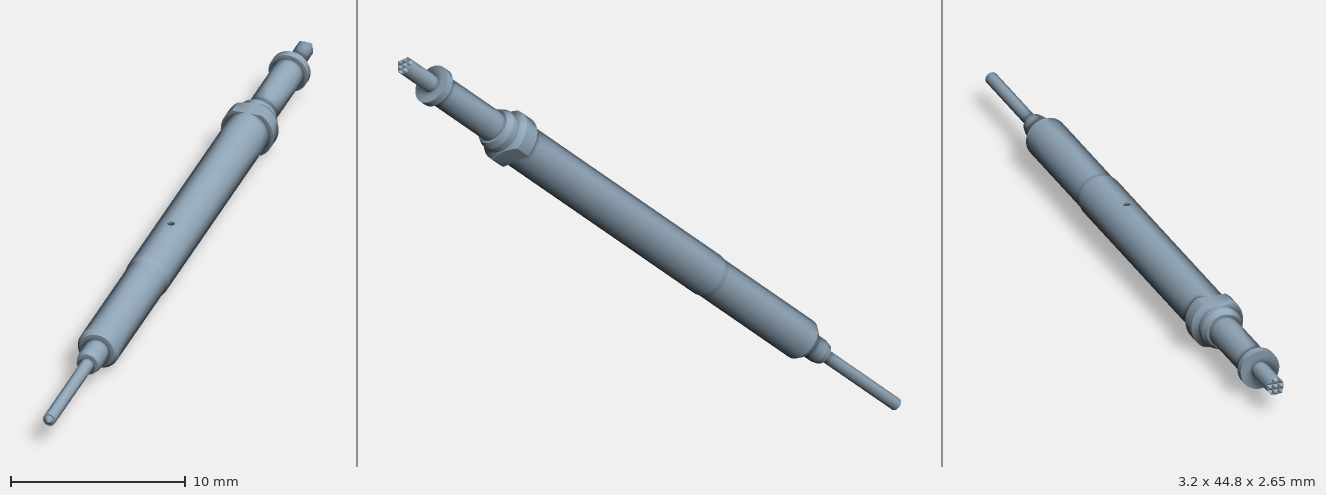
import cadquery as cq

length = 44.8
plunger_end = length / 2
pin_end = -length / 2

plunger_dia = 1.05
flange_dia = 2.37
barrel_dia = 1.85
collar_lip_dia = 2.15
collar_dia = 2.5
body_dia = 2.65
nut_dia = 3.2
rear_body_dia = collar_dia
rear_lip_dia = 2.1
neck_dia = 1.5
neck_lip_dia = 1.3
pin_dia = 0.75
cone_dia = 0.6

flange_start = 2.6
flange_end = 3.1
collar_start = 8.1
collar_full = 8.5
nut_chamfer_start = 8.95
nut_full = 9.27
nut_end = 10.2
joint_start = 27.45
joint_end = 27.85
rear_chamfer_start = 35.95
rear_end = 36.25
neck_chamfer_start = 37.45
neck_end = 37.85
cone_start = 44.5

tooth_count = 3
tooth_depth = 0.22
tooth_pitch = plunger_dia / tooth_count
across_flats = body_dia
hole_dia = 0.45
hole_depth = 0.25
hole_distance = 23.4


def y_at(distance):
    """Y of a station at the given distance back from the plunger end."""
    return plunger_end - distance


def turned_body():
    """Solid of revolution about Y from (diameter, distance) stations."""
    stations = [
        (plunger_dia, 0),
        (plunger_dia, flange_start),
        (flange_dia, flange_start),
        (flange_dia, flange_end),
        (barrel_dia, flange_end),
        (barrel_dia, collar_start),
        (collar_lip_dia, collar_start),
        (collar_dia, collar_full),
        (collar_dia, nut_chamfer_start),
        (nut_dia, nut_full),
        (nut_dia, nut_end),
        (body_dia, nut_end),
        (body_dia, joint_start),
        (rear_body_dia, joint_end),
        (rear_body_dia, rear_chamfer_start),
        (rear_lip_dia, rear_end),
        (neck_dia, rear_end),
        (neck_dia, neck_chamfer_start),
        (neck_lip_dia, neck_end),
        (pin_dia, neck_end),
        (pin_dia, cone_start),
        (cone_dia, cone_start),
    ]
    profile = cq.Workplane("XY").moveTo(0, plunger_end)
    for diameter, distance in stations:
        profile = profile.lineTo(diameter / 2, y_at(distance))
    profile = profile.lineTo(0, pin_end).close()
    return profile.revolve(360, (0, 0, 0), (0, 1, 0))


def nut_flat_cutters():
    """Two blocks that leave flats facing +Z and -Z on the nut."""
    flat_length = nut_end - nut_chamfer_start
    flat_y = y_at((nut_chamfer_start + nut_end) / 2)
    block_height = nut_dia - across_flats
    cutters = cq.Workplane("XY")
    for side in (1, -1):
        block = cq.Workplane("XY").box(nut_dia, flat_length, block_height)
        block_z = side * (across_flats + block_height) / 2
        cutters = cutters.add(block.translate((0, flat_y, block_z)))
    return cutters.combine()


def crown_grooves():
    """V-grooves running along Z, spaced to leave pointed teeth on the plunger end."""
    grooves = cq.Workplane("XY")
    for index in range(tooth_count + 1):
        valley_x = (index - tooth_count / 2) * tooth_pitch
        groove = (
            cq.Workplane("XY")
            .moveTo(valley_x, plunger_end - tooth_depth)
            .lineTo(valley_x + tooth_pitch / 2, plunger_end)
            .lineTo(valley_x - tooth_pitch / 2, plunger_end)
            .close()
            .extrude(plunger_dia, both=True)
        )
        grooves = grooves.add(groove)
    return grooves.combine()


def witness_hole():
    """Shallow round hole in the top of the body."""
    hole_floor = body_dia / 2 - hole_depth
    return (
        cq.Workplane("XY", origin=(0, y_at(hole_distance), hole_floor))
        .circle(hole_dia / 2)
        .extrude(2 * hole_depth)
    )


result = turned_body().cut(nut_flat_cutters())

grooves_along_z = crown_grooves()
grooves_along_x = grooves_along_z.rotate((0, 0, 0), (0, 1, 0), 90)
result = result.cut(grooves_along_z).cut(grooves_along_x)

result = result.cut(witness_hole())